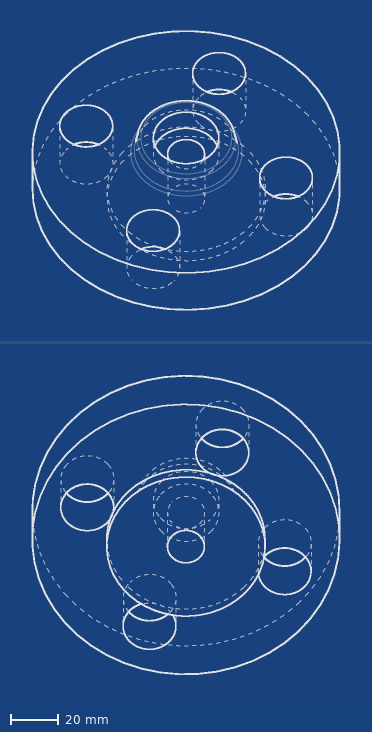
import cadquery as cq

flange_diameter = 130.0
flange_thickness = 25.4

face_diameter = 67.0
face_height = 6.4

hub_height = 9.6
hub_base_diameter = 44.5
hub_taper = 10.0
hub_root_radius = 1.5
hub_rim_radius = 1.5

bore_diameter = 15.6
socket_diameter = 27.7
socket_depth = 11.0

bolt_count = 4
bolt_hole_diameter = 22.4
bolt_circle_diameter = 88.9

flange_top = flange_thickness
hub_top = flange_top + hub_height
face_bottom = -face_height


def make_flange():
    """Round disc with the raised face under it."""
    disc = cq.Workplane("XY").circle(flange_diameter / 2).extrude(flange_thickness)
    return disc.faces("<Z").workplane().circle(face_diameter / 2).extrude(face_height)


def add_hub(body):
    """Tapered hub, rounded at its rim and blended into the disc at its root."""
    hub = (
        cq.Workplane("XY", origin=(0, 0, flange_top))
        .circle(hub_base_diameter / 2)
        .extrude(hub_height, taper=hub_taper)
    )
    body = body.union(hub)
    body = body.faces(">Z").edges().fillet(hub_rim_radius)
    hub_root = cq.selectors.RadiusNthSelector(0)
    disc_top = body.faces("+Z").faces("<Z")
    return disc_top.edges(hub_root).fillet(hub_root_radius)


def cut_bore(body):
    """Through bore with the wider socket in the hub end."""
    bore = (
        cq.Workplane("XY", origin=(0, 0, face_bottom))
        .circle(bore_diameter / 2)
        .extrude(hub_top - face_bottom)
    )
    socket = (
        cq.Workplane("XY", origin=(0, 0, hub_top))
        .circle(socket_diameter / 2)
        .extrude(-socket_depth)
    )
    return body.cut(bore).cut(socket)


def cut_bolt_holes(body):
    """Bolt holes through the disc, evenly spaced on the bolt circle."""
    holes = (
        cq.Workplane("XY")
        .polarArray(bolt_circle_diameter / 2, 0, 360, bolt_count)
        .circle(bolt_hole_diameter / 2)
        .extrude(flange_thickness)
    )
    return body.cut(holes)


result = cut_bolt_holes(cut_bore(add_hub(make_flange())))